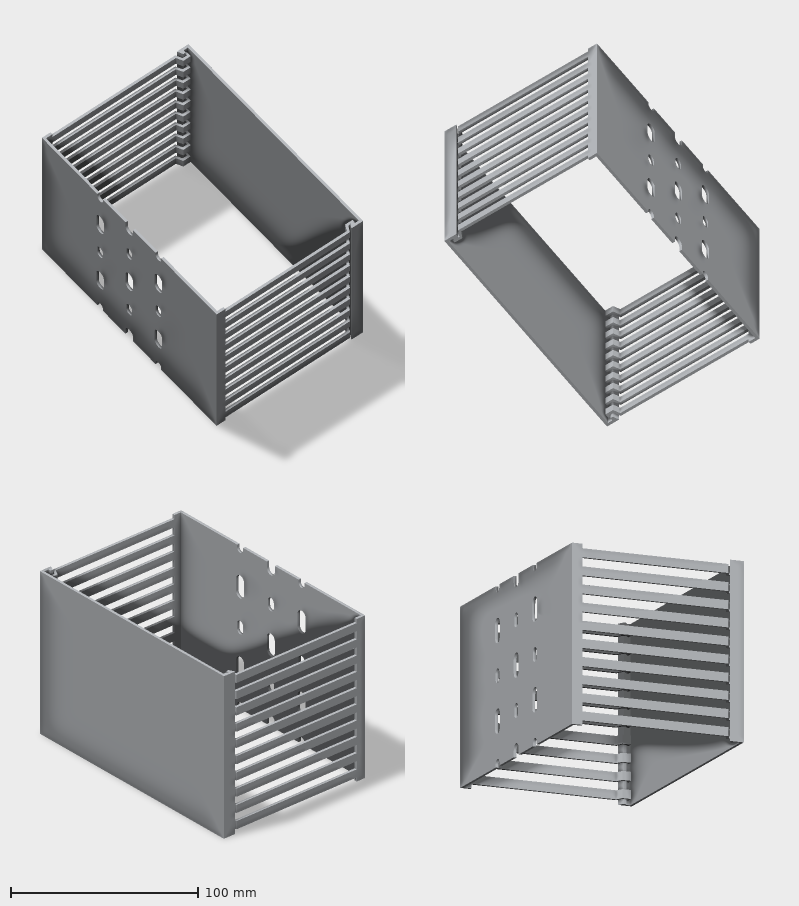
import cadquery as cq

WIDTH = 150.0
LENGTH = WIDTH * 2 / 3
DEPTH = WIDTH * 2 / 3
HALF_WIDTH = WIDTH / 2
FLOOR_Y = -DEPTH / 2
TOP_Y = DEPTH / 2

WALL = 1.6
BEVEL_SLOPE = 0.5

SKIRT_DEPTH = 8.0
WEDGE_REACH = 3.5
WEDGE_TOP_DEPTH = 4.6

STEP_DEPTH = 9.0
POST_REACH = 5.5
HOOK_TOP_DEPTH = 2.8
HOOK_THICKNESS = 1.2
HOOK_TIP_INSET = 2.1

FINGER_COUNT = 10
FINGER_PITCH = LENGTH / FINGER_COUNT
GAP_HEIGHT = FINGER_PITCH / 2
GAP_FLOOR = 6.0

SLOT_PITCH = LENGTH / 4
LARGE_SLOT = (14.0, 6.5)
SMALL_SLOT = (8.1, 4.8)


def mirrored_profile(left_half):
    """Extrude along Z the section closed by a left half and its mirror image."""
    right_half = [(-x, y) for x, y in reversed(left_half)]
    section = cq.Workplane("XY").workplane(offset=-LENGTH / 2)
    return section.polyline(left_half + right_half).close().extrude(LENGTH)


def make_cover():
    outer = -HALF_WIDTH
    inner = outer + WALL
    wedge_end = outer + WEDGE_REACH
    skirt_end = TOP_Y - SKIRT_DEPTH
    wedge_top = TOP_Y - WEDGE_TOP_DEPTH
    return mirrored_profile([
        (outer, TOP_Y),
        (outer, skirt_end),
        (wedge_end, skirt_end + BEVEL_SLOPE * WEDGE_REACH),
        (wedge_end, wedge_top),
        (inner, wedge_top),
        (inner, TOP_Y - WALL),
    ])


def make_tray_channel():
    outer = -HALF_WIDTH
    inner = outer + WALL
    post_inside = outer + POST_REACH
    post_outside = post_inside - WALL
    hook_tip = outer + HOOK_TIP_INSET
    step_outer = TOP_Y - STEP_DEPTH
    step_inner = step_outer - WALL
    hook_top = TOP_Y - HOOK_TOP_DEPTH
    hook_bottom = hook_top - HOOK_THICKNESS
    return mirrored_profile([
        (outer, FLOOR_Y),
        (outer, step_outer),
        (post_outside, step_outer + BEVEL_SLOPE * (post_outside - outer)),
        (post_outside, hook_bottom),
        (hook_tip, hook_bottom),
        (hook_tip, hook_top),
        (post_inside, hook_top),
        (post_inside, step_inner + BEVEL_SLOPE * (post_inside - outer)),
        (inner, step_inner + BEVEL_SLOPE * WALL),
        (inner, FLOOR_Y + WALL),
    ])


def cut_finger_gaps(tray):
    """Open gaps across both side walls; the end gaps are halved by the tray ends."""
    gap_bottom = FLOOR_Y + GAP_FLOOR
    for index in range(FINGER_COUNT + 1):
        gap = cq.Workplane("XY").box(WIDTH, TOP_Y - gap_bottom, GAP_HEIGHT)
        gap_z = index * FINGER_PITCH - LENGTH / 2
        tray = tray.cut(gap.translate((0, (TOP_Y + gap_bottom) / 2, gap_z)))
    return tray


def cut_floor_slots(tray):
    """Alternate large and small slots; the end rows are halved by the tray ends."""
    floor_plane = cq.Workplane("XZ", origin=(0, FLOOR_Y, 0))
    for column in (-1, 0, 1):
        for row in (-2, -1, 0, 1, 2):
            length, width = SMALL_SLOT if (column + row) % 2 else LARGE_SLOT
            centre = floor_plane.center(column * SLOT_PITCH, row * SLOT_PITCH)
            tray = tray.cut(centre.slot2D(length, width, 90).extrude(-WALL))
    return tray


cover = make_cover()
tray = cut_floor_slots(cut_finger_gaps(make_tray_channel()))

result = cq.Compound.makeCompound([tray.val(), cover.val()])